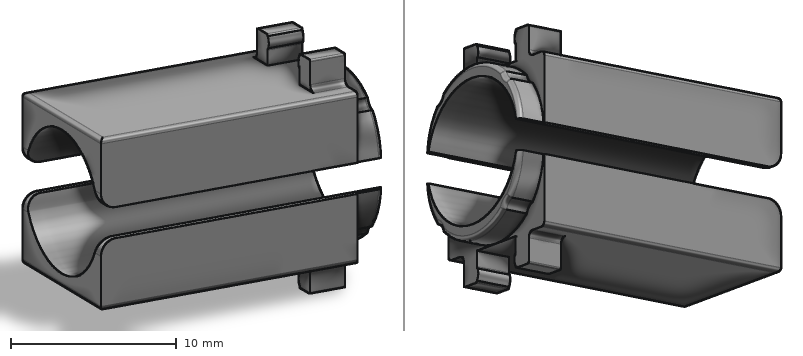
import cadquery as cq

length = 19.5
width = 9.85
height = 15.0
gap = 1.99

block_top = 5.5
collar_length = 1.8
edge_radius = 0.3
front_corner_radius = 1.0
bore_radius = 4.6

collar_radius = 4.84
groove_radius = 0.82
groove_x = 3.94
groove_z = 4.52

tab_length = 2.4
tab_outer_x = 3.33
tab_inner_x = 1.99
tab_root_radius = 0.4
tab_outer_round = 0.12
bead_tip_x = 1.85
bead_tip_z = 6.96
bead_start_x = 1.99
bead_top_round = 0.12
bead_shoulder_x = 1.91
bead_shoulder_z = 6.63
bead_foot_z = 6.5
bead_blend_bulge = 0.03

half_length = length / 2
parting_z = gap / 2
tab_top = height / 2
block_back_y = half_length - collar_length
collar_center_z = block_top - collar_radius
tab_root_x = tab_outer_x + tab_root_radius


def along_y(back_y):
    """Sketch plane at back_y with X right and Z up; positive extrusion runs toward -Y."""
    return cq.Workplane("XZ", origin=(0, back_y, 0))


def half_box(back_y, depth):
    """Plain box from the parting plane up to the block top."""
    return (
        along_y(back_y)
        .center(0, (parting_z + block_top) / 2)
        .rect(width, block_top - parting_z)
        .extrude(depth)
    )


def make_block():
    block = half_box(block_back_y, length - collar_length)
    block = block.edges(">Z and (|Y or <Y)").fillet(edge_radius)
    return block.edges("<Y and <Z").fillet(front_corner_radius)


def make_collar():
    """Round collar with a lengthwise groove on each shoulder and a rounded rear rim."""
    collar = (
        along_y(half_length)
        .center(0, collar_center_z)
        .circle(collar_radius)
        .extrude(collar_length)
    )
    grooves = (
        along_y(half_length)
        .pushPoints([(-groove_x, groove_z), (groove_x, groove_z)])
        .circle(groove_radius)
        .extrude(collar_length)
    )
    collar = collar.cut(grooves).faces(">Y").edges().fillet(edge_radius)
    return collar.intersect(half_box(half_length, collar_length))


def make_tab():
    """Right-hand tab: filleted root outside, snap bead inside."""
    root_z = block_top - edge_radius
    arc_inset = tab_root_radius * (1 - 0.5 ** 0.5)
    blend_mid_x = (bead_shoulder_x + tab_inner_x) / 2 + bead_blend_bulge
    blend_mid_z = (bead_shoulder_z + bead_foot_z) / 2
    return (
        along_y(block_back_y)
        .moveTo(tab_inner_x, root_z)
        .lineTo(tab_root_x, root_z)
        .lineTo(tab_root_x, block_top)
        .threePointArc(
            (tab_outer_x + arc_inset, block_top + arc_inset),
            (tab_outer_x, block_top + tab_root_radius),
        )
        .lineTo(tab_outer_x, tab_top - tab_outer_round)
        .radiusArc((tab_outer_x - tab_outer_round, tab_top), -tab_outer_round)
        .lineTo(bead_start_x + bead_top_round, tab_top)
        .radiusArc((bead_start_x, tab_top - bead_top_round), -bead_top_round)
        .threePointArc((bead_tip_x, bead_tip_z), (bead_shoulder_x, bead_shoulder_z))
        .threePointArc((blend_mid_x, blend_mid_z), (tab_inner_x, bead_foot_z))
        .close()
        .extrude(tab_length)
    )


def make_shell():
    """Upper half shell; the bore runs along Y through block and collar."""
    bore = along_y(half_length).circle(bore_radius).extrude(length)
    tab = make_tab()
    body = make_block().union(make_collar()).cut(bore)
    return body.union(tab).union(tab.mirror("YZ"))


upper_shell = make_shell()
shells = [upper_shell, upper_shell.mirror("XY")]

result = cq.Compound.makeCompound([shell.val() for shell in shells])